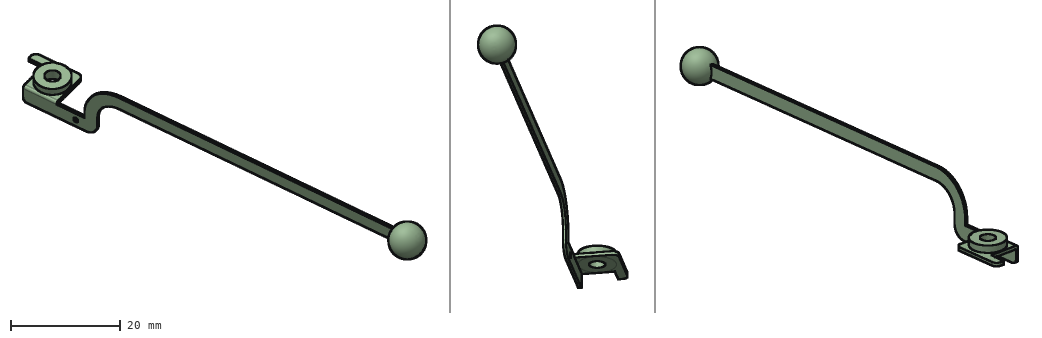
import cadquery as cq

overall_length = 92.7
overall_height = 14.6
ball_radius = 3.5
ball_x = overall_length - ball_radius
ball_z = overall_height - ball_radius

strip_thickness = 0.6
strip_width = 2.9
strip_left = 3.4
foot_height = 3.2
foot_corner_radius = 0.9
riser_left = 17.15
riser_right = riser_left + strip_width
heel_radius = 2.6
arm_top = ball_z + strip_width / 2
arm_bottom = arm_top - strip_width
bend_outer_radius = 7.8
bend_inner_radius = bend_outer_radius - strip_width
bend_end_x = riser_left + bend_outer_radius
pin_hole_diameter = 1.0
pin_hole_x = 15.2
pin_hole_z = foot_height / 2

plate_thickness = 0.7
plate_bottom = 3.1
plate_top = plate_bottom + plate_thickness
plate_right = 10.9
plate_front = -strip_thickness / 2
plate_back = 8.3
tab_width = 1.95
tab_front = plate_back - tab_width
plate_corner_radius = 1.1
fold_radius = 0.6

boss_diameter = 7.0
boss_top = 5.3
boss_x = (strip_left + plate_right) / 2
boss_y = 3.8
bore_diameter = 3.0

DIAGONAL = 0.5 ** 0.5


def make_strip():
    """S-shaped strip from the foot, up the riser and along the arm to the ball."""
    bend_center_z = arm_top - bend_outer_radius
    outer_offset = bend_outer_radius * DIAGONAL
    inner_offset = bend_inner_radius * DIAGONAL
    strip = (
        cq.Workplane("XZ")
        .moveTo(strip_left, 0)
        .lineTo(riser_right, 0)
        .lineTo(riser_right, bend_center_z)
        .threePointArc(
            (bend_end_x - inner_offset, bend_center_z + inner_offset),
            (bend_end_x, arm_bottom),
        )
        .lineTo(ball_x, arm_bottom)
        .lineTo(ball_x, arm_top)
        .lineTo(bend_end_x, arm_top)
        .threePointArc(
            (bend_end_x - outer_offset, bend_center_z + outer_offset),
            (riser_left, bend_center_z),
        )
        .lineTo(riser_left, foot_height)
        .lineTo(strip_left, foot_height)
        .close()
        .extrude(strip_thickness / 2, both=True)
    )
    strip = strip.edges(cq.NearestToPointSelector((strip_left, 0, 0))).fillet(foot_corner_radius)
    strip = strip.edges(cq.NearestToPointSelector((riser_right, 0, 0))).fillet(heel_radius)
    pin_hole = (
        cq.Workplane("XZ")
        .center(pin_hole_x, pin_hole_z)
        .circle(pin_hole_diameter / 2)
        .extrude(strip_thickness, both=True)
    )
    return strip.cut(pin_hole)


def make_plate():
    """Square plate with a tab at its back left corner and rounded back corners."""
    return (
        cq.Workplane("XY")
        .workplane(offset=plate_bottom)
        .moveTo(strip_left, plate_front)
        .lineTo(plate_right, plate_front)
        .lineTo(plate_right, plate_back)
        .lineTo(0, plate_back)
        .lineTo(0, tab_front)
        .lineTo(strip_left, tab_front)
        .close()
        .extrude(plate_thickness)
        .edges("|Z and >Y")
        .fillet(plate_corner_radius)
    )


def round_fold(body):
    """Round the outside of the fold, along the front top edge of the plate."""
    fold_middle = ((strip_left + plate_right) / 2, plate_front, plate_top)
    return body.edges(cq.NearestToPointSelector(fold_middle)).fillet(fold_radius)


def boss_cylinder(diameter, bottom):
    return (
        cq.Workplane("XY")
        .workplane(offset=bottom)
        .center(boss_x, boss_y)
        .circle(diameter / 2)
        .extrude(boss_top - bottom)
    )


plate = round_fold(make_plate())
boss = boss_cylinder(boss_diameter, plate_bottom)
bore = boss_cylinder(bore_diameter, plate_bottom)

ball = cq.Workplane("XY").sphere(ball_radius).translate((ball_x, 0, ball_z))
result = make_strip().union(plate).union(boss).cut(bore).union(ball)